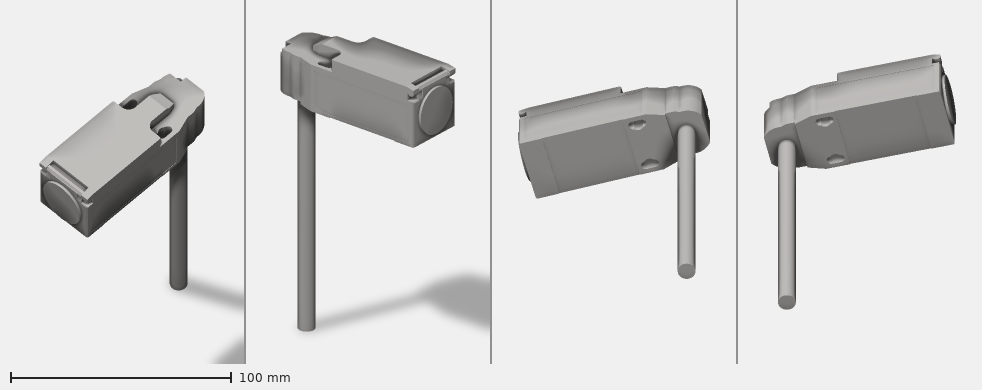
import cadquery as cq

EPS = 1.5

width = 30.2
half_width = width / 2
length = 68.0
height = 29.8
rear_half_width = 12.4
rear_taper_length = 8.1
corner_bevel_width = 0.9
corner_bevel_depth = 0.5

ear_drop = 6.1
ear_level = height - ear_drop
ear_front_y = 48.0
tongue_half_width = 5.4
ear_inner_radius = 4.3
ear_outer_radius = 0.9

tongue_rear_gap = 0.6
tongue_rear_y = length - tongue_rear_gap
tongue_tip_half_width = 4.2
tongue_taper_length = 4.0
tongue_tip_drop = 3.0
tongue_ridge_drop = 1.0
tongue_ridge_y = tongue_rear_y - tongue_taper_length
tongue_crest_y = 61.3

slot_x = 10.9
slot_y = 54.6
slot_width = 4.0
slot_length = 8.2
slot_bulge_radius = 3.0

panel_front_y = 2.5
panel_rear_y = 57.9
panel_bottom_z = 1.6
panel_top_z = 21.2
panel_radius = 1.3
panel_depth = 0.1
foot_front_y = 10.9
foot_rear_y = 48.9
foot_depth = 0.3

hinge_half_width = 11.0
hinge_wall_y = 5.0
trough_wall_drop = 2.4
trough_y = 3.5
trough_drop = 2.0
ridge_y = 2.2
ridge_drop = 0.7
brow_y = 1.0
brow_drop = 1.0
hinge_front_y = 0.3
hinge_front_drop = 2.1
corner_slope_length = 4.0
corner_slope_drop = 0.9
gap_depth = 3.6
gap_roof_drop = 3.0
gap_lip_drop = 3.3
gap_lip_lowest = 4.2
gap_lip_rear_y = 2.1
gap_lip_front_y = 0.7
gap_floor_drop = 6.9
gap_sill_drop = 7.5
block_half_width = 8.4
bead_rear_y = 0.7
bead_front_y = 0.1
pocket_bottom_drop = 7.0

plug_radius = 11.5
plug_length = 1.3
plug_z = 13.6

head_length = 15.7
head_bottom_z = 1.3
head_half_width = 12.4
head_foot_length = 0.7
head_foot_half_width = 12.3
head_taper_start = 4.0
head_taper_end = 6.7
head_upper_half_width = 11.5
head_round_start = 8.1
head_end_half_width = 7.5
head_round_radius = 9.3
notch_x = -3.9
notch_length = 3.5
notch_depth = 4.0

cable_diameter = 8.1
cable_x = 0.1
cable_y = 74.8
overall_height = 149.6
cable_bottom_z = height - overall_height


def box(x0, x1, y0, y1, z0, z1):
    """Axis-aligned box between two opposite corners."""
    return cq.Workplane("XY").box(x1 - x0, y1 - y0, z1 - z0, centered=False).translate((x0, y0, z0))


def drop_profile(points, x0, x1):
    """Extrude an outline of (y, depth below the top face) points from x0 to x1."""
    outline = [(y, height - drop) for y, drop in points]
    return cq.Workplane("YZ").workplane(offset=x0).polyline(outline).close().extrude(x1 - x0)


def both_sides(shape):
    """The shape together with its mirror image across the YZ plane."""
    return shape.union(shape.mirror("YZ"))


def make_block():
    taper_y = length - rear_taper_length
    return (
        cq.Workplane("XY")
        .polyline([
            (-half_width, 0),
            (half_width, 0),
            (half_width, taper_y),
            (rear_half_width, length),
            (-rear_half_width, length),
            (-half_width, taper_y),
        ])
        .close()
        .extrude(height)
    )


def make_ear_cut():
    """Space above one ear: concave corner at the tongue, rounded-over edge at the side."""
    r_in = ear_inner_radius
    r_out = ear_outer_radius
    return (
        cq.Workplane("XY")
        .workplane(offset=ear_level)
        .moveTo(tongue_half_width, tongue_ridge_y)
        .lineTo(tongue_half_width, ear_front_y + r_in)
        .radiusArc((tongue_half_width + r_in, ear_front_y), -r_in)
        .lineTo(half_width - r_out, ear_front_y)
        .radiusArc((half_width, ear_front_y - r_out), r_out)
        .lineTo(half_width + EPS, ear_front_y - r_out)
        .lineTo(half_width + EPS, length + EPS)
        .lineTo(0, length + EPS)
        .lineTo(0, tongue_rear_y)
        .lineTo(tongue_tip_half_width, tongue_rear_y)
        .close()
        .extrude(ear_drop + EPS)
    )


def make_tongue_slope():
    """Space above the two slopes that fall to the rear tip of the tongue."""
    return drop_profile(
        [
            (tongue_crest_y, 0),
            (tongue_ridge_y, tongue_ridge_drop),
            (tongue_rear_y, tongue_tip_drop),
            (length + EPS, tongue_tip_drop),
            (length + EPS, -EPS),
            (tongue_crest_y, -EPS),
        ],
        -half_width,
        half_width,
    )


def make_slot():
    """Mounting slot with a round bulge on the side facing the tongue."""
    slot = cq.Workplane("XY").center(slot_x, slot_y).slot2D(slot_length, slot_width, 90).extrude(height)
    bulge = cq.Workplane("XY").center(slot_x, slot_y).circle(slot_bulge_radius).extrude(height)
    inner_half = box(0, slot_x, 0, length, 0, height)
    return slot.union(bulge.intersect(inner_half))


def make_side_panel():
    panel = box(
        half_width - panel_depth, half_width + EPS,
        panel_front_y, panel_rear_y,
        panel_bottom_z, panel_top_z,
    )
    return panel.edges("|X").fillet(panel_radius)


def make_hinge_groove():
    """Groove in the top front edge: rounded trough, ridge, then a face falling to the front."""
    return (
        cq.Workplane("YZ")
        .workplane(offset=-hinge_half_width)
        .moveTo(hinge_wall_y, height + EPS)
        .lineTo(hinge_wall_y, height - trough_wall_drop)
        .threePointArc((trough_y, height - trough_drop), (ridge_y, height - ridge_drop))
        .lineTo(brow_y, height - brow_drop)
        .lineTo(hinge_front_y, height - hinge_front_drop)
        .lineTo(-EPS, height - hinge_front_drop)
        .lineTo(-EPS, height + EPS)
        .close()
        .extrude(2 * hinge_half_width)
    )


def make_corner_slope():
    """Space above the slope on the lid corner beside the hinge groove."""
    return drop_profile(
        [
            (corner_slope_length, 0),
            (0, corner_slope_drop),
            (-EPS, corner_slope_drop),
            (-EPS, -EPS),
            (corner_slope_length, -EPS),
        ],
        hinge_half_width,
        half_width + EPS,
    )


def make_corner_gap():
    """Gap under the lid corner, open to the front and the side."""
    return drop_profile(
        [
            (-EPS, gap_lip_drop),
            (0, gap_lip_drop),
            (gap_lip_front_y, gap_lip_lowest),
            (gap_lip_rear_y, gap_lip_lowest),
            (gap_depth, gap_roof_drop),
            (gap_depth, gap_floor_drop),
            (corner_bevel_depth, gap_floor_drop),
            (0, gap_sill_drop),
            (-EPS, gap_sill_drop),
        ],
        hinge_half_width,
        half_width + EPS,
    )


def make_bead_pocket():
    """Pocket beside the middle block: rounded bead above, steep ramp below."""
    bead_middle_drop = (hinge_front_drop + gap_lip_lowest) / 2
    return (
        cq.Workplane("YZ")
        .workplane(offset=block_half_width)
        .moveTo(-EPS, height - hinge_front_drop)
        .lineTo(hinge_front_y, height - hinge_front_drop)
        .threePointArc((bead_front_y, height - bead_middle_drop), (bead_rear_y, height - gap_lip_lowest))
        .lineTo(0, height - pocket_bottom_drop)
        .lineTo(-EPS, height - pocket_bottom_drop)
        .close()
        .extrude(hinge_half_width - block_half_width)
    )


def make_corner_bevel():
    """Bevel on the vertical front edge below the lid corner."""
    return (
        cq.Workplane("XY")
        .polyline([(half_width - corner_bevel_width, 0), (half_width, corner_bevel_depth), (half_width, 0)])
        .close()
        .extrude(height - gap_floor_drop)
    )


def make_housing():
    housing = make_block()
    housing = housing.cut(both_sides(make_ear_cut()))
    housing = housing.cut(make_tongue_slope())
    housing = housing.cut(both_sides(make_slot()))
    housing = housing.cut(both_sides(make_side_panel()))
    housing = housing.cut(box(-half_width, half_width, foot_front_y, foot_rear_y, 0, foot_depth))
    housing = housing.cut(make_hinge_groove())
    corner_cuts = (
        make_corner_slope(),
        make_corner_gap(),
        make_bead_pocket(),
        make_corner_bevel(),
    )
    for corner_cut in corner_cuts:
        housing = housing.cut(both_sides(corner_cut))
    plug = cq.Workplane("XZ").center(0, plug_z).circle(plug_radius).extrude(plug_length)
    return housing.union(plug)


def make_head():
    rear_y = length + head_length
    head = (
        cq.Workplane("XY")
        .workplane(offset=head_bottom_z)
        .moveTo(-head_foot_half_width, length)
        .lineTo(head_foot_half_width, length)
        .lineTo(head_half_width, length + head_foot_length)
        .lineTo(head_half_width, length + head_taper_start)
        .lineTo(head_upper_half_width, length + head_taper_end)
        .lineTo(head_upper_half_width, length + head_round_start)
        .radiusArc((head_end_half_width, rear_y), -head_round_radius)
        .lineTo(-head_end_half_width, rear_y)
        .radiusArc((-head_upper_half_width, length + head_round_start), -head_round_radius)
        .lineTo(-head_upper_half_width, length + head_taper_end)
        .lineTo(-head_half_width, length + head_taper_start)
        .lineTo(-head_half_width, length + head_foot_length)
        .close()
        .extrude(ear_level - head_bottom_z)
    )
    notch = box(-half_width, notch_x, rear_y - notch_length, rear_y + EPS, ear_level - notch_depth, height)
    return head.cut(notch)


def make_cable():
    return (
        cq.Workplane("XY")
        .workplane(offset=cable_bottom_z)
        .center(cable_x, cable_y)
        .circle(cable_diameter / 2)
        .extrude(head_bottom_z - cable_bottom_z)
    )


housing = make_housing()
head = make_head()
cable = make_cable()
result = cq.Compound.makeCompound([housing.val(), head.val(), cable.val()])